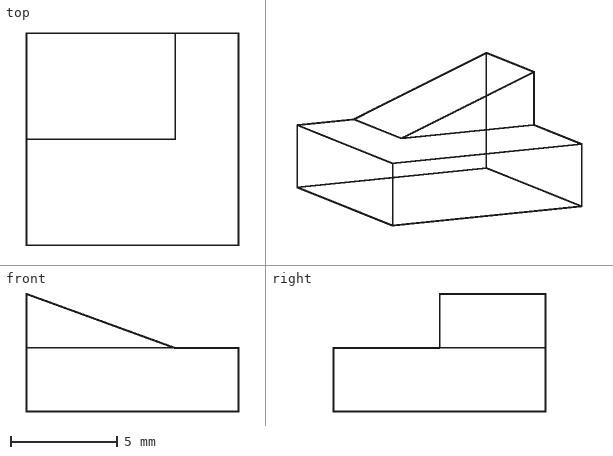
import cadquery as cq
import math

base_side = 10.0
base_height = 3.0
wedge_height = 2.552
wedge_angle = 20.0

wedge_width = base_side / 2
wedge_length = wedge_height / math.tan(math.radians(wedge_angle))


def make_base():
    """Square plate with one corner at the origin."""
    return cq.Workplane("XY").box(base_side, base_side, base_height, centered=False)


def make_wedge():
    """Ramp on the +Y half of the plate, tallest at the -X side."""
    return (
        cq.Workplane("XZ", origin=(0, base_side, base_height))
        .lineTo(wedge_length, 0)
        .lineTo(0, wedge_height)
        .close()
        .extrude(wedge_width)
    )


result = make_base().union(make_wedge())